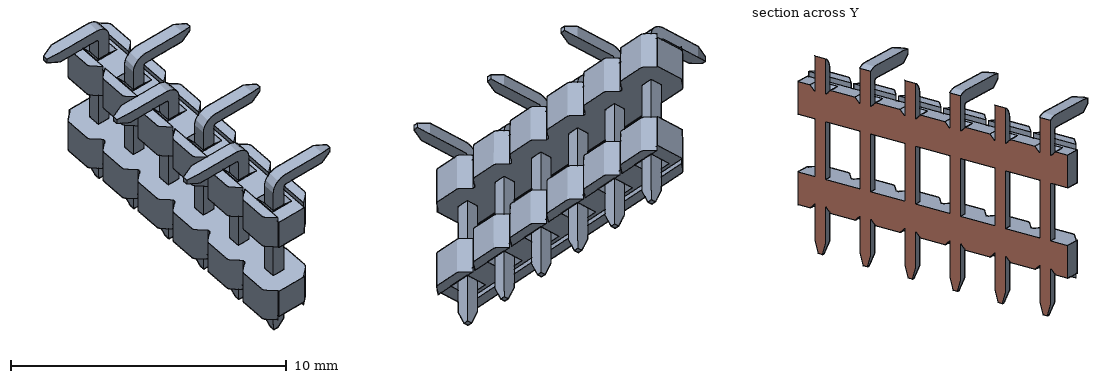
import cadquery as cq
import math

pin_count = 6
pitch = 2.0
row_length = pin_count * pitch
first_pin_x = -(pin_count - 1) * pitch / 2

pin_width = 0.5
tip_length = 0.5
tip_width = 0.2
bend_inner_radius = 0.1
bend_outer_radius = bend_inner_radius + pin_width
leg_reach = 2.54
pin_height = 7.85

core_width = 1.2
insulator_width = 2.0
insulator_height = 1.5
core_recess = 0.2
core_height = insulator_height - core_recess
lower_insulator_z = 1.5
insulator_gap = 2.25
upper_insulator_z = lower_insulator_z + insulator_height + insulator_gap

lug_base_width = 1.9
lug_crest_width = 1.18
lug_corner_radius = 0.2

pocket_width = 0.9
pocket_depth = 0.2


def pin_x(index):
    return first_pin_x + index * pitch


def make_lug():
    """Trapezoidal lug on the +Y side at X = 0, with rounded outer corners."""
    lug = (
        cq.Workplane("XY")
        .moveTo(-lug_base_width / 2, 0)
        .lineTo(-lug_base_width / 2, core_width / 2)
        .lineTo(-lug_crest_width / 2, insulator_width / 2)
        .lineTo(lug_crest_width / 2, insulator_width / 2)
        .lineTo(lug_base_width / 2, core_width / 2)
        .lineTo(lug_base_width / 2, 0)
        .close()
        .extrude(insulator_height)
    )
    lug = lug.edges("|Z and >Y").fillet(lug_corner_radius)
    core_side = cq.Workplane("XY").box(
        lug_base_width, core_width, insulator_height, centered=(True, True, False)
    )
    return lug.cut(core_side)


def make_pocket():
    """Square funnel that narrows from the core's recessed face to the pin."""
    return (
        cq.Workplane("XY", origin=(0, 0, core_height))
        .rect(pocket_width, pocket_width)
        .workplane(offset=-pocket_depth)
        .rect(pin_width, pin_width)
        .loft(ruled=True)
    )


def make_insulator():
    """Insulator standing on Z = 0 with its recessed face and pockets upward."""
    insulator = cq.Workplane("XY").box(
        row_length, core_width, core_height, centered=(True, True, False)
    )
    lug = make_lug()
    opposite_lug = lug.mirror("XZ")
    pocket = make_pocket()
    for index in range(pin_count):
        position = (pin_x(index), 0, 0)
        insulator = insulator.union(lug.translate(position))
        insulator = insulator.union(opposite_lug.translate(position))
        insulator = insulator.cut(pocket.translate(position))
    return insulator


def make_tip():
    """Pyramid-shaped pin end, narrowing from Z = 0 down to its point."""
    return (
        cq.Workplane("XY")
        .rect(pin_width, pin_width)
        .workplane(offset=-tip_length)
        .rect(tip_width, tip_width)
        .loft(ruled=True)
    )


def make_pin():
    """Pin at X = 0 with a bent leg pointing toward -Y."""
    half = pin_width / 2
    leg_end_y = -(leg_reach - tip_length)
    leg_bottom_z = pin_height - pin_width
    bend_y = half - bend_outer_radius
    bend_z = pin_height - bend_outer_radius
    diagonal = math.sqrt(0.5)
    outer_mid = bend_outer_radius * diagonal
    inner_mid = bend_inner_radius * diagonal

    shank = (
        cq.Workplane("YZ", origin=(-half, 0, 0))
        .moveTo(-half, tip_length)
        .lineTo(half, tip_length)
        .lineTo(half, bend_z)
        .threePointArc((bend_y + outer_mid, bend_z + outer_mid), (bend_y, pin_height))
        .lineTo(leg_end_y, pin_height)
        .lineTo(leg_end_y, leg_bottom_z)
        .lineTo(bend_y, leg_bottom_z)
        .threePointArc((bend_y + inner_mid, bend_z + inner_mid), (-half, bend_z))
        .close()
        .extrude(pin_width)
    )
    tip = make_tip()
    lower_tip = tip.translate((0, 0, tip_length))
    leg_tip = tip.rotate((0, 0, 0), (1, 0, 0), -90).translate((0, leg_end_y, pin_height - half))
    return shank.union(lower_tip).union(leg_tip)


def make_header():
    upper = make_insulator()
    lower = upper.mirror("XY").translate((0, 0, lower_insulator_z + insulator_height))
    header = upper.translate((0, 0, upper_insulator_z)).union(lower)

    front_pin = make_pin()
    back_pin = front_pin.mirror("XZ")
    for index in range(pin_count):
        pin = front_pin if index % 2 == 0 else back_pin
        header = header.union(pin.translate((pin_x(index), 0, 0)))
    return header


result = make_header()